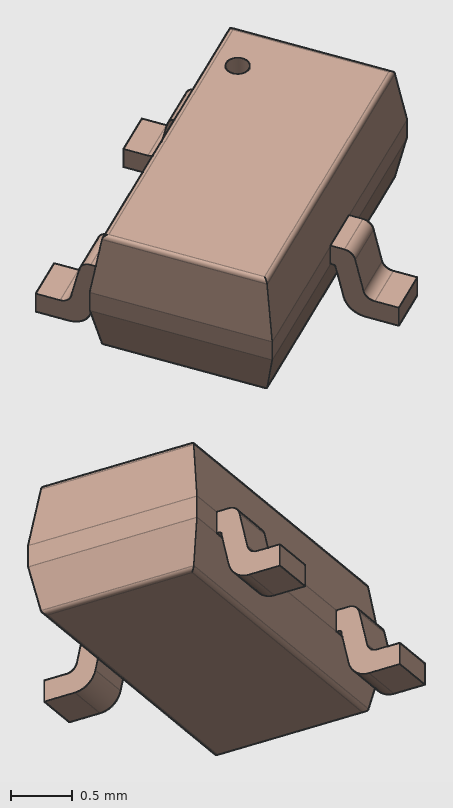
import cadquery as cq
import math

body_length = 2.92
body_width = 1.6
overall_span = 2.8
overall_height = 1.25

standoff = 0.05
belt_bottom = 0.475
belt_height = 0.2
belt_top = belt_bottom + belt_height
taper_inset = 0.082
rim_radius = 0.04

mark_diameter = 0.2
mark_depth = 0.2
mark_x = -0.48

lead_thickness = belt_height
lead_width = 0.4
lead_offset_y = 0.95
foot_bend_distance = 0.292
shoulder_distance = 0.2
bend_radius = 0.1
heel_radius = 0.2
inner_shoulder_radius = 0.02


def make_tapered_half(start_z, height):
    """Frustum from the belt to an end face; a negative height points it down."""
    taper_angle = math.degrees(math.atan2(taper_inset, abs(height)))
    return (
        cq.Workplane("XY", origin=(0, 0, start_z))
        .rect(body_width, body_length)
        .extrude(height, taper=taper_angle)
    )


def make_housing():
    belt = cq.Workplane("XY", origin=(0, 0, belt_bottom)).rect(body_width, body_length).extrude(belt_height)
    upper_half = make_tapered_half(belt_top, overall_height - belt_top)
    lower_half = make_tapered_half(belt_bottom, standoff - belt_bottom)
    housing = belt.union(upper_half).union(lower_half)
    housing = housing.faces(">Z or <Z").edges().fillet(rim_radius)
    mark = (
        cq.Workplane("XY", origin=(mark_x, lead_offset_y, overall_height - mark_depth))
        .circle(mark_diameter / 2)
        .extrude(mark_depth)
    )
    return housing.cut(mark)


def make_lead(center_y, side):
    """Lead on the -X side (side = -1) or the +X side (side = 1) of the body."""
    tip_x = overall_span / 2
    root_x = body_width / 2
    foot_corner_x = tip_x - foot_bend_distance
    shoulder_corner_x = root_x + shoulder_distance

    leg_rise = belt_top - lead_thickness
    leg_slope = math.atan2(leg_rise, foot_corner_x - shoulder_corner_x)
    corner_shift = lead_thickness * math.tan(leg_slope / 2)
    heel_x = foot_corner_x - corner_shift
    inner_shoulder_x = shoulder_corner_x - corner_shift

    profile = [
        (tip_x, 0),
        (tip_x, lead_thickness),
        (foot_corner_x, lead_thickness),
        (shoulder_corner_x, belt_top),
        (root_x, belt_top),
        (root_x, belt_bottom),
        (inner_shoulder_x, belt_bottom),
        (heel_x, 0),
    ]
    bends = [
        (foot_corner_x, lead_thickness, bend_radius),
        (shoulder_corner_x, belt_top, bend_radius),
        (inner_shoulder_x, belt_bottom, inner_shoulder_radius),
        (heel_x, 0, heel_radius),
    ]
    lead = (
        cq.Workplane("XZ", origin=(0, center_y, 0))
        .polyline([(side * x, z) for x, z in profile])
        .close()
        .extrude(lead_width / 2, both=True)
    )
    for x, z, radius in bends:
        corner_edge = cq.selectors.NearestToPointSelector((side * x, center_y, z))
        lead = lead.edges("|Y").edges(corner_edge).fillet(radius)
    return lead


housing = make_housing()

lead_places = [(lead_offset_y, -1), (-lead_offset_y, -1), (0, 1)]
leads = [make_lead(center_y, side) for center_y, side in lead_places]

result = cq.Compound.makeCompound([housing.val(), *[lead.val() for lead in leads]])